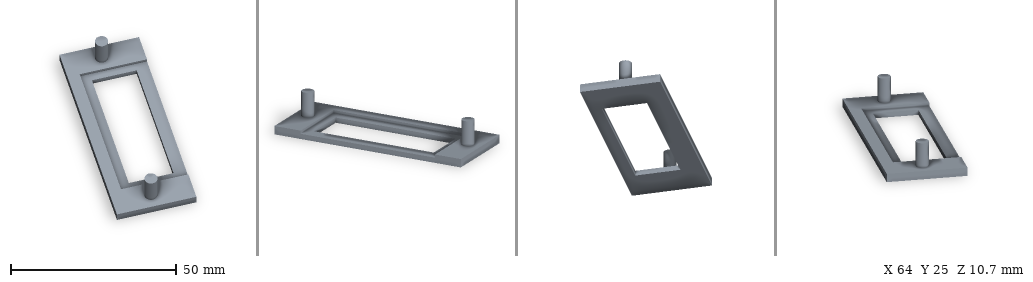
import cadquery as cq

plate_length = 64.0
plate_width = 25.0
plate_thickness = 2.7

recess_left = 8.9
recess_length = 46.1
recess_front = 3.85
recess_depth = 1.0
recess_width = plate_width - recess_front

window_left = 11.4
window_length = 41.15
window_front = 7.0
window_width = 14.1

pin_diameter = 4.0
pin_height = 8.0
pin_spacing = 55.0
pin_y = 12.0
pin_left_x = (plate_length - pin_spacing) / 2


def corner_box(length, width, height, corner):
    """Box whose lowest corner sits at the given point."""
    return cq.Workplane("XY").box(length, width, height, centered=False).translate(corner)


plate = corner_box(plate_length, plate_width, plate_thickness, (0, 0, 0))

recess_floor = plate_thickness - recess_depth
recess = corner_box(recess_length, recess_width, recess_depth, (recess_left, recess_front, recess_floor))

window = corner_box(window_length, window_width, plate_thickness, (window_left, window_front, 0))

pins = (
    cq.Workplane("XY")
    .pushPoints([(pin_left_x, pin_y), (pin_left_x + pin_spacing, pin_y)])
    .circle(pin_diameter / 2)
    .extrude(plate_thickness + pin_height)
)

result = plate.cut(recess).cut(window).union(pins)